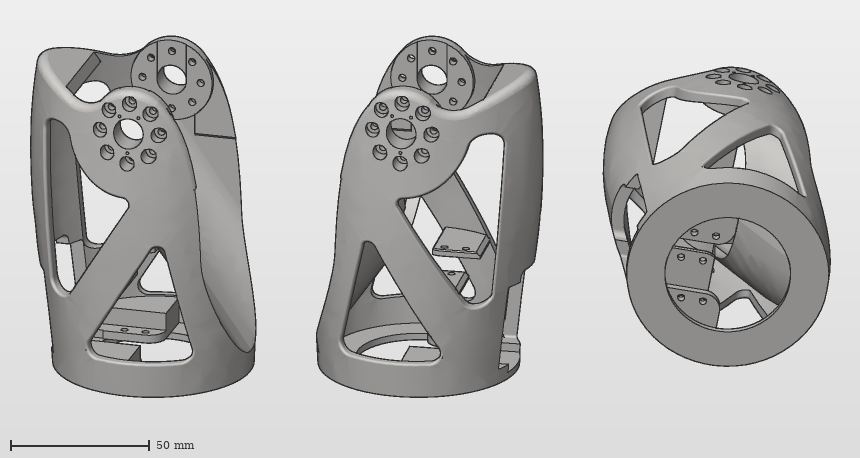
import cadquery as cq
import math


REACH = 69.3
OUTSIDE_X = -52.0

SECTIONS = [
    (0.0, 36.5, 36.5, 0.0),
    (11.5, 37.1, 37.7, 0.2),
    (41.6, 37.1, 42.4, 0.6),
    (75.1, 35.8, 45.5, 1.0),
    (98.2, 33.0, 44.9, 1.0),
    (119.0, 29.8, 42.2, 1.0),
]
BACK_SHAPES = [((0.5, 0.866), (0.46, 0.86)), ((0.866, 0.5), (0.84, 0.47))]
FRONT_ANGLES = [math.radians(a) for a in (30, 60, 90)]

WALL = 3.5
BACK_WALL = 4.6
ROOT = 0.8
FLOOR = 2.5
FLOOR_HOLE_D = 45.5

RIM_TOP = (OUTSIDE_X, 120.8)
RIM_LOW = (-23.1, 108.4)
VALLEY = (-16.9, 107.7)
ARM_FRONT = [(17.2, 101.8), (22.5, 86.4), (25.4, 65.8), (28.3, 38.5)]
RIM_R = 2.9
RIM_FILLET_Z = 106.9

DECK_EDGE_X = -27.6
DECK_LIP = 2.0
DECK_THICKNESS = 3.5

HUB_Z = 100.3
HUB_R = 15.2
HUB_SHOULDER_X = 9.9
HUB_FACE_Y = 23.7
HUB_BORE_D = 11.0
BOLT_CIRCLE_R = 11.0
BOLT_COUNT = 8
BOLT_D = 2.7
BOLT_HEAD_D = 5.3
BOLT_SEAT_Y = 27.1
PIN_CIRCLE_R = 7.0
PIN_D = 1.0
PIN_ANGLES = (60, 120, 270)
RELIEF_DEPTH = 0.5

ARM_STEP_X = 8.1
ARM_STEP_Z = 78.0
ARM_STEP_CHAMFER = 1.7
ARM_FACE_Y = 25.6

RAMP_FOOT_X = 37.0
RAMP_FOOT_Z = 8.4
RAMP_ANGLE = 55.0
RAMP_WALL = 3.7
CHANNEL_HALF = 26.6
CHANNEL_DEPTH = 15.0
SADDLE_R = 25.4
SADDLE_Z = 49.1

SEAT_LOW_Z = 5.7
SEAT_HIGH_Z = 37.7
SEAT_INNER_Y = 10.0
SEAT_CORNER_R = 6.4
LEDGE_Z = 12.2
PLATE_THICKNESS = 2.4
PLATE_BACK_X = -20.6
PLATE_FRONT_X = -2.7
PLATE_BEVEL = 1.5
PLATE_CHAMFER = 0.5
SEAT_HOLES = [(-14.7, 13.2), (-6.7, 13.2)]
SEAT_HOLE_D = 2.5

OPENING_HALF = 16.8
OPENING_FRONT_X = -22.0
OPENING_CORNER_R = 0.9
TAB_HALF = 10.6
TAB_TOP_Z = 41.7
TAB_CORNER_R = 2.3

LARGE_TOP_LEFT = (-35.1, 98.4)
LARGE_LEFT_MIDDLE = (-33.5, 63.5)
LARGE_BOTTOM = (-29.8, 23.5)
LARGE_ARC_R = 24.1
LARGE_RIGHT_X = 3.1
LARGE_TOP_R = 5.3
LARGE_BOTTOM_R = 4.7
LARGE_RIGHT_R = 2.5
TRIANGLE = [((-17.7, 12.8), 3.9), ((23.8, 12.8), 3.9), ((12.5, 62.5), 2.7)]
WINDOW_EDGE_R = 0.8


def between(start, end, part):
    return start + (end - start) * part


def height_on_circle(x, radius):
    """Rise above the hub centre of a circle round the hub, at a distance x from its axis."""
    return math.sqrt(radius**2 - x**2)


def box(x0, x1, y0, y1, z0, z1):
    return cq.Workplane(cq.Solid.makeBox(x1 - x0, y1 - y0, z1 - z0, cq.Vector(x0, y0, z0)))


def side_cylinder(x, z, diameter, y0):
    axis = cq.Vector(0, 1, 0)
    return cq.Workplane(cq.Solid.makeCylinder(diameter / 2, REACH - y0, cq.Vector(x, y0, z), axis))


def round_corner(body, corner, radius):
    x, z = corner
    nearest = cq.selectors.NearestToPointSelector((x, 0, z))
    return body.edges("|Y").edges(nearest).fillet(radius)


def egg_section(z, half_width, back_length, pointed):
    front = [(half_width * math.cos(t), half_width * math.sin(t)) for t in FRONT_ANGLES]
    back = [
        (-between(rx, px, pointed) * back_length, between(ry, py, pointed) * half_width)
        for (rx, ry), (px, py) in BACK_SHAPES
    ]
    side = front + back
    mirrored = [(x, -y) for x, y in reversed(side)]
    outline = [(half_width, 0)] + side + [(-back_length, 0)] + mirrored
    return cq.Workplane("XY", origin=(0, 0, z)).spline(outline, periodic=True).wire().val()


def egg_body(side_gap, back_gap):
    """The outer shape, drawn inward by the two gaps."""
    wires = [
        egg_section(z, half_width - side_gap, back_length - back_gap, pointed)
        for z, half_width, back_length, pointed in SECTIONS
    ]
    return cq.Workplane(cq.Solid.makeLoft(wires))


def side_profile():
    shoulder_z = HUB_Z + height_on_circle(HUB_SHOULDER_X, HUB_R)
    front_x = RAMP_FOOT_X + 1.2
    return (
        cq.Workplane("XZ")
        .moveTo(OUTSIDE_X, 0)
        .lineTo(*RIM_TOP)
        .lineTo(*RIM_LOW)
        .threePointArc(VALLEY, (-HUB_SHOULDER_X, shoulder_z))
        .threePointArc((0, HUB_Z + HUB_R), (HUB_SHOULDER_X, shoulder_z))
        .spline(ARM_FRONT, includeCurrent=True)
        .lineTo(front_x, RAMP_FOOT_Z)
        .lineTo(front_x, 0)
        .close()
        .extrude(REACH, both=True)
    )


def rounded_body():
    body = egg_body(0, 0).intersect(side_profile())
    rim = cq.selectors.BoxSelector(
        (OUTSIDE_X, -REACH, RIM_FILLET_Z), (HUB_SHOULDER_X / 2, REACH, 2 * REACH)
    )
    return body.edges(rim).edges("not |Y").fillet(RIM_R)


def channel(offset):
    tilt = math.radians(RAMP_ANGLE)
    plane = cq.Plane(
        origin=(RAMP_FOOT_X, 0, RAMP_FOOT_Z),
        xDir=(0, 1, 0),
        normal=(-math.cos(tilt), 0, math.sin(tilt)),
    )
    half_width = CHANNEL_HALF + offset
    length = 2 * REACH
    start = cq.Workplane(plane).workplane(offset=-REACH / 2).center(0, -CHANNEL_DEPTH)
    bottom = start.ellipse(half_width, CHANNEL_DEPTH + offset).extrude(length)
    sides = start.center(0, -REACH / 2).rect(2 * half_width, REACH).extrude(length)
    return bottom.union(sides)


def saddle_cut():
    length = 2 * REACH
    start = cq.Workplane("YZ", origin=(-REACH / 2, 0, SADDLE_Z + SADDLE_R))
    bottom = start.circle(SADDLE_R).extrude(length)
    sides = start.center(0, REACH / 2).rect(2 * SADDLE_R, REACH).extrude(length)
    return bottom.union(sides)


def ramp_wall(inside):
    front_block = box(0, REACH, 0, REACH, FLOOR / 2, HUB_Z)
    return channel(RAMP_WALL).intersect(front_block).cut(saddle_cut()).intersect(inside)


def large_window():
    top_z = LARGE_TOP_LEFT[1]
    top_right = (-height_on_circle(HUB_Z - top_z, LARGE_ARC_R), top_z)
    right = (LARGE_RIGHT_X, HUB_Z - height_on_circle(LARGE_RIGHT_X, LARGE_ARC_R))
    diagonal = LARGE_ARC_R * math.sqrt(0.5)
    body = (
        cq.Workplane("XZ")
        .moveTo(*top_right)
        .lineTo(*LARGE_TOP_LEFT)
        .threePointArc(LARGE_LEFT_MIDDLE, LARGE_BOTTOM)
        .lineTo(*right)
        .threePointArc((-diagonal, HUB_Z - diagonal), top_right)
        .close()
        .extrude(REACH, both=True)
    )
    body = round_corner(body, LARGE_BOTTOM, LARGE_BOTTOM_R)
    body = round_corner(body, right, LARGE_RIGHT_R)
    body = round_corner(body, top_right, LARGE_TOP_R)
    return round_corner(body, LARGE_TOP_LEFT, LARGE_TOP_R)


def triangle_window():
    corners = [corner for corner, _ in TRIANGLE]
    body = cq.Workplane("XZ").polyline(corners).close().extrude(REACH, both=True)
    for corner, radius in TRIANGLE:
        body = round_corner(body, corner, radius)
    return body


def cut_window(body, window):
    """Cut a window through the +Y side and round its outer edge."""
    body = body.cut(window)
    frame = window.val().BoundingBox()
    mouth = cq.selectors.BoxSelector(
        (frame.xmin - 1.2, WALL, frame.zmin - 1.2),
        (frame.xmax + 1.2, REACH, frame.zmax + 1.2),
        boundingbox=True,
    )
    return body.edges(mouth).edges("not |Y").fillet(WINDOW_EDGE_R)


def deck():
    """Sloped roof over the back of the cavity, parallel to the rim."""
    slope = (RIM_LOW[1] - RIM_TOP[1]) / (RIM_LOW[0] - RIM_TOP[0])
    lip_x = DECK_EDGE_X + DECK_LIP
    top_z = RIM_TOP[1] + slope * (DECK_EDGE_X - OUTSIDE_X)
    bottom_z = RIM_TOP[1] + slope * (lip_x - OUTSIDE_X) - DECK_THICKNESS
    return (
        cq.Workplane("XZ")
        .moveTo(OUTSIDE_X, RIM_TOP[1] - DECK_THICKNESS)
        .lineTo(lip_x, bottom_z)
        .lineTo(DECK_EDGE_X, top_z)
        .lineTo(DECK_EDGE_X, 2 * REACH)
        .lineTo(OUTSIDE_X, 2 * REACH)
        .close()
        .extrude(REACH, both=True)
    )


def arm_pads():
    disc = side_cylinder(0, HUB_Z, 2 * HUB_R, HUB_FACE_Y)
    step = box(ARM_STEP_X, REACH, ARM_FACE_Y, REACH, ARM_STEP_Z, 2 * REACH)
    return disc.union(step.edges("|X and <Y and <Z").chamfer(ARM_STEP_CHAMFER))


def motor_seat(z0, z1):
    seat = box(OUTSIDE_X, 0, SEAT_INNER_Y, REACH, z0, z1)
    return seat.edges("|Z and >X and <Y").fillet(SEAT_CORNER_R)


def upper_plate():
    plate = motor_seat(SEAT_HIGH_Z, SEAT_HIGH_Z + PLATE_THICKNESS)
    plate = plate.intersect(box(PLATE_BACK_X, PLATE_FRONT_X, 0, REACH, 0, REACH))
    plate = plate.faces(">Z").edges("not <X").edges("not >Y").chamfer(PLATE_CHAMFER)
    return plate.edges("<X and >Z").chamfer(PLATE_BEVEL)


def cavity(pads):
    base = box(OUTSIDE_X, REACH, -REACH, REACH, -1.2, FLOOR)
    ledge = box(OUTSIDE_X, 0, OPENING_HALF, REACH, FLOOR, LEDGE_Z)
    seats = motor_seat(FLOOR, SEAT_LOW_Z).union(ledge)
    return egg_body(WALL, BACK_WALL).cut(deck()).cut(base).cut(seats).cut(pads)


def back_opening():
    block = box(OUTSIDE_X, OPENING_FRONT_X, -OPENING_HALF, OPENING_HALF, SEAT_LOW_Z, SEAT_HIGH_Z)
    tabs = box(OUTSIDE_X, OPENING_FRONT_X, -TAB_HALF, TAB_HALF, FLOOR, TAB_TOP_Z)
    tabs = tabs.edges("|X and >Z").fillet(TAB_CORNER_R)
    return block.edges("|X").fillet(OPENING_CORNER_R).union(tabs)


def floor_holes():
    motor_hole = cq.Workplane("XY").circle(FLOOR_HOLE_D / 2).extrude(FLOOR)
    screw_holes = cq.Workplane("XY").pushPoints(SEAT_HOLES).circle(SEAT_HOLE_D / 2)
    return motor_hole.union(screw_holes.extrude(SEAT_HIGH_Z + 2 * PLATE_THICKNESS))


def ring_of_holes(radius, angles, diameter, y0):
    holes = cq.Workplane("XY")
    for angle in angles:
        x = radius * math.cos(math.radians(angle))
        z = HUB_Z + radius * math.sin(math.radians(angle))
        holes = holes.add(side_cylinder(x, z, diameter, y0))
    return holes.combine()


def hub_holes():
    bolt_angles = [i * 360 / BOLT_COUNT for i in range(BOLT_COUNT)]
    half_bore = HUB_BORE_D / 2
    relief_y = HUB_FACE_Y + RELIEF_DEPTH
    relief = box(-half_bore, half_bore, HUB_FACE_Y, relief_y, HUB_Z, HUB_Z + 2 * HUB_R)
    return (
        side_cylinder(0, HUB_Z, HUB_BORE_D, HUB_FACE_Y)
        .union(ring_of_holes(BOLT_CIRCLE_R, bolt_angles, BOLT_D, HUB_FACE_Y))
        .union(ring_of_holes(BOLT_CIRCLE_R, bolt_angles, BOLT_HEAD_D, BOLT_SEAT_Y))
        .union(ring_of_holes(PIN_CIRCLE_R, PIN_ANGLES, PIN_D, BOLT_SEAT_Y))
        .union(relief)
    )


half_space = box(-REACH, REACH, 0, REACH, -1.2, 2 * REACH)
pads = arm_pads()
inside = egg_body(WALL - ROOT, BACK_WALL - ROOT).intersect(half_space)

half = rounded_body().intersect(half_space)
half = cut_window(half, large_window())
half = cut_window(half, triangle_window())
half = half.cut(cavity(pads))
half = half.union(ramp_wall(inside))
half = half.cut(channel(0).cut(pads).intersect(half_space))
half = half.union(upper_plate().intersect(inside))
half = half.cut(floor_holes()).cut(back_opening()).cut(hub_holes())

result = half.union(half.mirror("XZ"), clean=False)